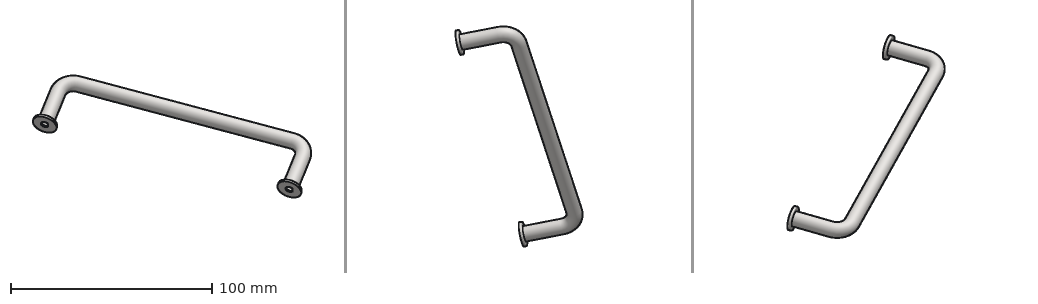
import cadquery as cq
import math

overall_length = 140.5
overall_depth = 33.0
rod_diameter = 8.0
bend_radius = 8.0
flange_diameter = 12.5
flange_thickness = 1.5
flange_rim_radius = 0.4
hole_diameter = 3.2
hole_mouth_diameter = 4.0
countersink_angle = 60.0
hole_depth = 12.0
drill_point_angle = 118.0

leg_x = (overall_length - flange_diameter) / 2
bar_y = overall_depth - rod_diameter / 2
bend_start_y = bar_y - bend_radius
bend_end_x = leg_x - bend_radius
bend_mid_offset = bend_radius * math.sin(math.radians(45))


def make_rod():
    """Round rod swept along two legs, two quarter bends and the grip."""
    path = (
        cq.Workplane("XY")
        .moveTo(-leg_x, 0)
        .lineTo(-leg_x, bend_start_y)
        .threePointArc(
            (-bend_end_x - bend_mid_offset, bend_start_y + bend_mid_offset),
            (-bend_end_x, bar_y),
        )
        .lineTo(bend_end_x, bar_y)
        .threePointArc(
            (bend_end_x + bend_mid_offset, bend_start_y + bend_mid_offset),
            (leg_x, bend_start_y),
        )
        .lineTo(leg_x, 0)
    )
    section = cq.Workplane("XZ", origin=(-leg_x, 0, 0)).circle(rod_diameter / 2)
    return section.sweep(path)


def make_flange(x):
    """Disc around the foot of a leg, with its inner rim rounded."""
    foot = cq.Workplane("XZ", origin=(x, 0, 0))
    disc = foot.circle(flange_diameter / 2).extrude(-flange_thickness)
    return disc.faces(">Y").edges().fillet(flange_rim_radius)


def make_hole(x):
    """Countersunk blind hole with a conical drill point, revolved about the leg axis."""
    hole_radius = hole_diameter / 2
    mouth_radius = hole_mouth_diameter / 2
    countersink_depth = (mouth_radius - hole_radius) / math.tan(math.radians(countersink_angle / 2))
    point_depth = hole_radius / math.tan(math.radians(drill_point_angle / 2))
    return (
        cq.Workplane("XY", origin=(x, 0, 0))
        .moveTo(0, 0)
        .lineTo(mouth_radius, 0)
        .lineTo(hole_radius, countersink_depth)
        .lineTo(hole_radius, hole_depth)
        .lineTo(0, hole_depth + point_depth)
        .close()
        .revolve(360, (0, 0, 0), (0, 1, 0))
    )


result = make_rod()
for foot_x in (-leg_x, leg_x):
    result = result.union(make_flange(foot_x))
    result = result.cut(make_hole(foot_x))